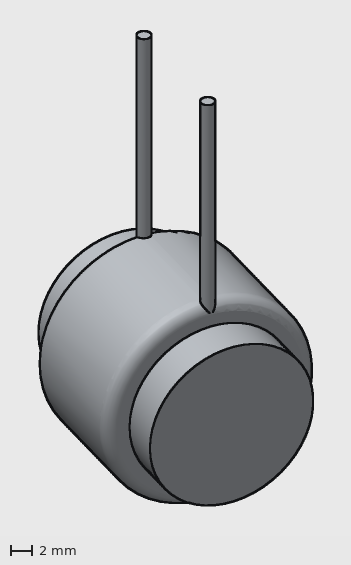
import cadquery as cq

total_height = 44.6
drum_diameter = 22.35
drum_length = 14.18
drum_edge_radius = 1.25
core_diameter = 17.3
core_length = 22.35
lead_diameter = 1.43

lead_offset = (drum_length - lead_diameter) / 2
lead_top = total_height - drum_diameter / 2
lead_bottom = core_diameter / 2


def axial_cylinder(diameter, length):
    """Cylinder along X, centred on the origin, with its seam on the -Y side."""
    return (
        cq.Workplane("XY")
        .center(0, -diameter / 4)
        .rect(length, diameter / 2)
        .revolve(360, (0, diameter / 4), (1, diameter / 4))
    )


def lead(x):
    """Straight round wire rising from inside the drum."""
    return (
        cq.Workplane("XY", origin=(x, 0, lead_bottom))
        .circle(lead_diameter / 2)
        .extrude(lead_top - lead_bottom)
    )


drum = axial_cylinder(drum_diameter, drum_length).edges("%CIRCLE").fillet(drum_edge_radius)
result = drum.union(axial_cylinder(core_diameter, core_length))

for side in (-1, 1):
    result = result.union(lead(side * lead_offset))